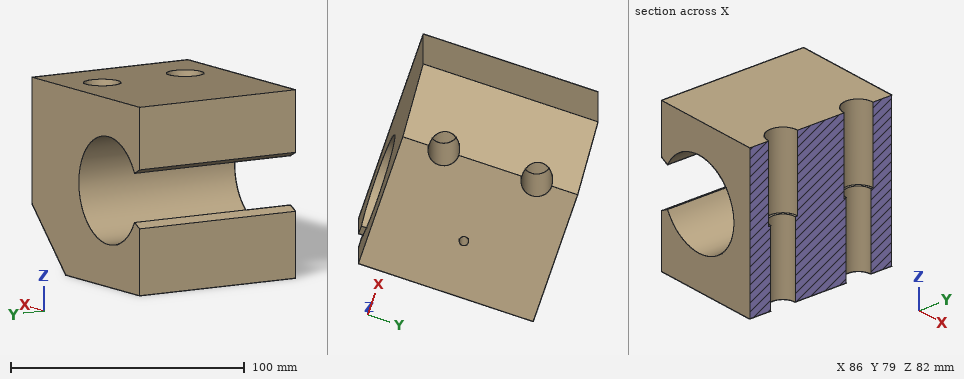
import cadquery as cq
import math

length = 86.0
width = 79.0
height = 82.0
corner_chamfer = 27.0

bore_radius = 23.5
bore_x = 25.0
bore_z = 42.0
lip_half_height = 10.7
mouth_half_height = 12.8
lip_x = bore_x - math.sqrt(bore_radius**2 - lip_half_height**2)

mount_x = length - corner_chamfer
mount_spacing = 42.0
mount_y = 0.0
mount_upper_diameter = 16.0
mount_lower_diameter = 13.5
mount_upper_depth = height / 2

oil_diameter = 4.0
oil_x = 24.0
oil_y = 0.0


def make_block():
    block = cq.Workplane("XY").box(length, width, height, centered=(False, True, False))
    return block.edges("|Y and >X and <Z").chamfer(corner_chamfer)


def make_bore_and_mouth():
    return (
        cq.Workplane("XZ", origin=(0, width / 2, 0))
        .moveTo(0, bore_z - mouth_half_height)
        .lineTo(lip_x, bore_z - lip_half_height)
        .threePointArc((bore_x + bore_radius, bore_z), (lip_x, bore_z + lip_half_height))
        .lineTo(0, bore_z + mouth_half_height)
        .close()
        .extrude(width)
    )


def vertical_cylinder(x, y, bottom, top, diameter):
    return cq.Workplane("XY", origin=(x, y, bottom)).circle(diameter / 2).extrude(top - bottom)


result = make_block().cut(make_bore_and_mouth())
for side in (-1, 1):
    y = mount_y + side * mount_spacing / 2
    result = result.cut(vertical_cylinder(mount_x, y, 0, height, mount_lower_diameter))
    result = result.cut(
        vertical_cylinder(mount_x, y, height - mount_upper_depth, height, mount_upper_diameter)
    )
result = result.cut(vertical_cylinder(oil_x, oil_y, 0, bore_z, oil_diameter))